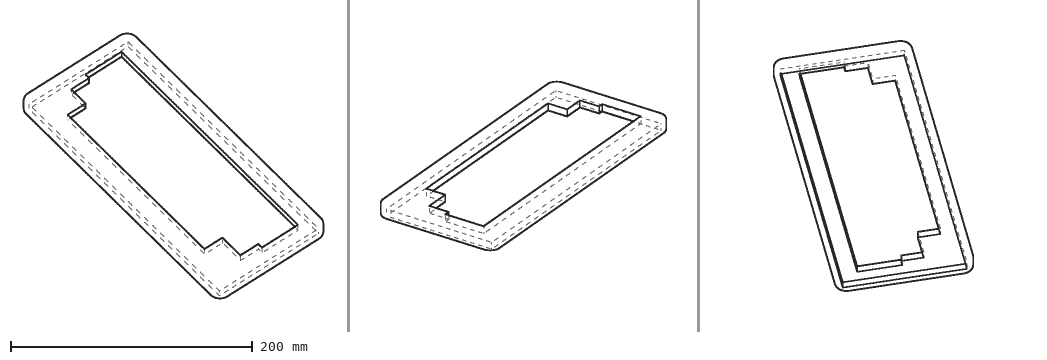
import cadquery as cq

LENGTH = 264.0
WIDTH = 117.0
HEIGHT = 13.0
CORNER_RADIUS = 10.0
RIM_FILLET = 2.0

KEY_PITCH = 19.05
OPENING_KEYS = 12.25
OPENING_ROWS = 4
OPENING_OFFSET_Y = 0.3

OPENING_STEPS = [
    (0.0, OPENING_KEYS, 2),
    (0.25, 12.0, 3),
    (1.25, 10.75, OPENING_ROWS),
]

PLATE_THICKNESS = 6.7
WALL_THICKNESS = 6.0

opening_left = -OPENING_KEYS * KEY_PITCH / 2
opening_back = OPENING_OFFSET_Y + OPENING_ROWS * KEY_PITCH / 2


def box_on_base(length, width, height):
    """Box centred in X and Y, standing on Z = 0."""
    return cq.Workplane("XY").box(length, width, height, centered=(True, True, False))


def make_body():
    """Slab with rounded corners and rounded top and bottom rims."""
    body = box_on_base(LENGTH, WIDTH, HEIGHT)
    body = body.edges("|Z").fillet(CORNER_RADIUS)
    return body.faces("<Z or >Z").edges().fillet(RIM_FILLET)


def make_recess():
    """Rectangular recess that opens on the underside."""
    return box_on_base(
        LENGTH - 2 * WALL_THICKNESS,
        WIDTH - 2 * WALL_THICKNESS,
        HEIGHT - PLATE_THICKNESS,
    )


def make_opening_step(left_key, right_key, rows):
    """Through block between two key positions, reaching the given rows down."""
    length = (right_key - left_key) * KEY_PITCH
    width = rows * KEY_PITCH
    center_x = opening_left + left_key * KEY_PITCH + length / 2
    center_y = opening_back - width / 2
    return box_on_base(length, width, HEIGHT).translate((center_x, center_y, 0))


result = make_body().cut(make_recess())
for left_key, right_key, rows in OPENING_STEPS:
    result = result.cut(make_opening_step(left_key, right_key, rows))